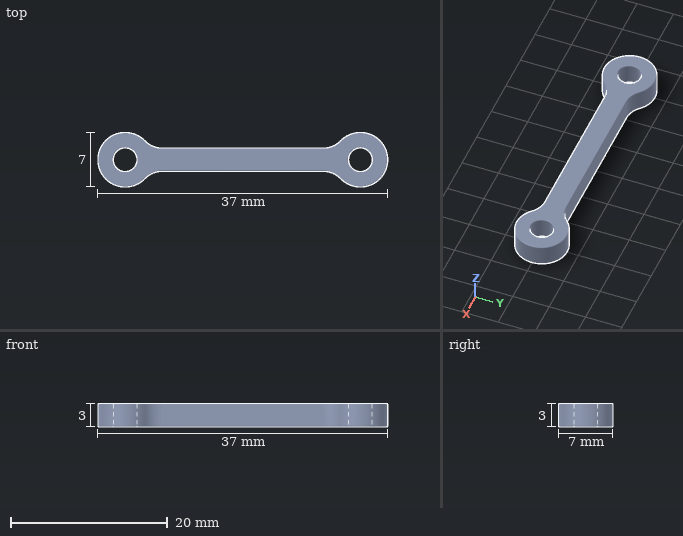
import cadquery as cq

hole_spacing = 30.0
eye_diameter = 7.0
hole_diameter = 3.0
bar_width = 3.0
thickness = 3.0
neck_radius = 3.0
edge_radius = 0.15

eye_centers = [(-hole_spacing / 2, 0), (hole_spacing / 2, 0)]


def make_link_body():
    """Two round eyes joined by a straight bar, with blended necks."""
    bar = cq.Workplane("XY").rect(hole_spacing, bar_width).extrude(thickness)
    eyes = cq.Workplane("XY").pushPoints(eye_centers).circle(eye_diameter / 2).extrude(thickness)
    body = bar.union(eyes)

    half_neck_zone = (hole_spacing - eye_diameter / 2) / 2
    neck_edges = cq.selectors.BoxSelector(
        (-half_neck_zone, -bar_width, -thickness),
        (half_neck_zone, bar_width, 2 * thickness),
    )
    return body.edges("|Z").edges(neck_edges).fillet(neck_radius)


def cut_pin_holes(body):
    """Through hole at the center of each eye."""
    holes = cq.Workplane("XY").pushPoints(eye_centers).circle(hole_diameter / 2).extrude(thickness)
    return body.cut(holes)


def round_edges(body):
    """Round every edge of the top and bottom faces."""
    return body.faces("<Z or >Z").edges().fillet(edge_radius)


result = round_edges(cut_pin_holes(make_link_body()))